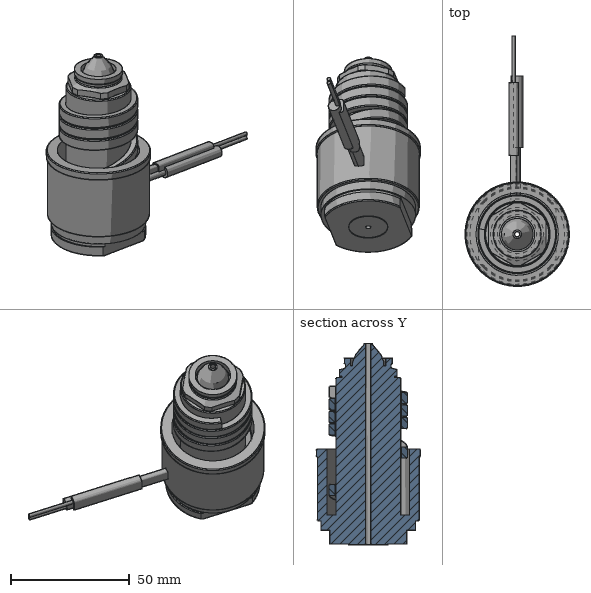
import cadquery as cq
import math

FOOT_BOSS_HEIGHT = 0.3
BASE_TOP = 4.6
GROOVE_TOP = 6.1
COLLAR_TOP = 10.0
GAP_FLOOR = 12.7
FLANGE_BOTTOM = 36.9
FLANGE_TOP = 40.4
SHAFT_TOP = 70.5
HEX_BOTTOM = 70.9
HEX_EDGE_TOP = 73.5
HEX_CONE_TOP = 74.4
FLARE_TOP = 74.8
NECK_TOP = 75.7
RIM_BOTTOM = 76.4
RIM_TOP = 78.6
TIP_TAPER_BOTTOM = 77.0
TIP_CONE_BOTTOM = 80.1
TIP_CONE_TOP = 84.4
NOZZLE_TOP = 84.8

FOOT_BOSS_RADIUS = 8.2
BASE_RADIUS = 19.9
GROOVE_RADIUS = 19.3
HOUSING_RADIUS = 21.5
FLANGE_DIAMETER = 44.0
FLANGE_RADIUS = FLANGE_DIAMETER / 2
BORE_RADIUS = 17.3
SHAFT_RADIUS = 13.7
HEX_NECK_RADIUS = 11.2
HEX_CORNER_RADIUS = 13.2
HEX_ACROSS_FLATS = 24.3
FLARE_RADIUS = 10.0
NECK_RADIUS = 9.6
RIM_RADIUS = 10.1
RECESS_RADIUS = 7.4
TIP_BASE_RADIUS = 6.6
TIP_CONE_RADIUS = 5.4
TIP_RADIUS = 1.8
MELT_HOLE_RADIUS = 1.1
BASE_FLATS_WIDTH = 32.5
RECESS_DEPTH = 3.2
EDGE = 0.4

COIL_INNER_RADIUS = 13.8
COIL_THICKNESS = 2.7
COIL_HEIGHT = 4.9
COIL_CHAMFER = 0.4
COIL_PITCH = 5.3
COIL_TOP = 64.4
COIL_TOP_ANGLE = 172.0
CLOSE_TURN = 3 * 360.0 + 14.0
STEEP_TURN = 423.0
TOTAL_TURN = CLOSE_TURN + STEEP_TURN
POINTS_PER_TURN = 24

LEAD_X = -1.5
LEAD_Z = 19.5
LEAD_WIDTH = 2.7
LEAD_HEIGHT = 5.3
LEAD_FILLET = 0.6
LEAD_START = 14.8
SLEEVE_WIDTH = 4.0
SLEEVE_HEIGHT = 6.5
SLEEVE_FILLET = 1.3
SLEEVE_START = 33.2
SLEEVE_END = 63.8
SENSOR_Z = 18.3
SENSOR_RADIUS = 1.4
SENSOR_TUBE_RADIUS = 2.5
SENSOR_TUBE_START = 36.4
SENSOR_TUBE_END = 66.7
WIRE_RADIUS = 0.79
WIRE_SPACING = 1.9
OVERALL_LENGTH = 105.5
WIRE_END = OVERALL_LENGTH - FLANGE_RADIUS


def cylinder(radius, bottom, top):
    return cq.Workplane("XY").workplane(offset=bottom).circle(radius).extrude(top - bottom)


def round_bar(radius, x, z, start, end):
    """Round bar along +Y."""
    return cq.Workplane("XZ", origin=(x, start, z)).circle(radius).extrude(start - end)


def rounded_bar(width, height, fillet, start, end):
    """Rectangular bar along +Y, on the lead's axis, with its long edges rounded."""
    bar = cq.Workplane("XZ", origin=(LEAD_X, start, LEAD_Z)).rect(width, height).extrude(start - end)
    return bar.edges("|Y").fillet(fillet)


def make_lead_core():
    """Flat lead with the sensor cable beside it, up to the sleeve and the sensor tube."""
    lead = rounded_bar(LEAD_WIDTH, LEAD_HEIGHT, LEAD_FILLET, LEAD_START, SLEEVE_START)
    cable = round_bar(SENSOR_RADIUS, 0, SENSOR_Z, LEAD_START, SENSOR_TUBE_START)
    return lead.union(cable)


def make_hexagon():
    """Hexagon with two flats facing -X and +X, its corners turned down and its top conical."""
    hexagon = (
        cq.Workplane("XY")
        .workplane(offset=HEX_BOTTOM)
        .polygon(6, HEX_ACROSS_FLATS, circumscribed=True)
        .extrude(HEX_CONE_TOP - HEX_BOTTOM)
    )
    turned = (
        cq.Workplane("XZ")
        .moveTo(0, HEX_BOTTOM)
        .lineTo(HEX_CORNER_RADIUS, HEX_BOTTOM)
        .lineTo(HEX_CORNER_RADIUS, HEX_EDGE_TOP)
        .lineTo(FLARE_RADIUS, HEX_CONE_TOP)
        .lineTo(0, HEX_CONE_TOP)
        .close()
        .revolve(360, (0, 0, 0), (0, 1, 0))
    )
    return hexagon.intersect(turned)


def make_base():
    """Grooved foot with a wrench flat on the -X and +X sides."""
    base = cylinder(BASE_RADIUS, FOOT_BOSS_HEIGHT, BASE_TOP).faces("<Z").chamfer(EDGE)
    base = base.union(cylinder(GROOVE_RADIUS, BASE_TOP, GROOVE_TOP))
    between_flats = cq.Workplane("XY").rect(BASE_FLATS_WIDTH, 2 * BASE_RADIUS).extrude(GROOVE_TOP)
    base = base.intersect(between_flats)
    return base.union(cylinder(FOOT_BOSS_RADIUS, 0, FOOT_BOSS_HEIGHT))


def make_housing():
    """Sleeve around the lower coil, with a flange at its top."""
    collar = cylinder(BASE_RADIUS, GROOVE_TOP, COLLAR_TOP)
    barrel = cylinder(HOUSING_RADIUS, COLLAR_TOP, FLANGE_BOTTOM).faces("<Z").chamfer(EDGE)
    flange = cylinder(FLANGE_RADIUS, FLANGE_BOTTOM, FLANGE_TOP).faces("<Z or >Z").chamfer(EDGE)
    bore = cylinder(BORE_RADIUS, GAP_FLOOR, FLANGE_TOP)
    return collar.union(barrel).union(flange).cut(bore)


def make_tip():
    """Rim with a recess around the conical tip."""
    rim = (
        cq.Workplane("XZ")
        .moveTo(0, HEX_CONE_TOP)
        .lineTo(FLARE_RADIUS, HEX_CONE_TOP)
        .lineTo(NECK_RADIUS, FLARE_TOP)
        .lineTo(NECK_RADIUS, NECK_TOP)
        .lineTo(RIM_RADIUS, RIM_BOTTOM)
        .lineTo(RIM_RADIUS, RIM_TOP)
        .lineTo(0, RIM_TOP)
        .close()
        .revolve(360, (0, 0, 0), (0, 1, 0))
    )
    recess_floor = RIM_TOP - RECESS_DEPTH
    rim = rim.cut(cylinder(RECESS_RADIUS, recess_floor, RIM_TOP))
    cone = (
        cq.Workplane("XZ")
        .moveTo(0, recess_floor)
        .lineTo(TIP_BASE_RADIUS, recess_floor)
        .lineTo(TIP_BASE_RADIUS, TIP_TAPER_BOTTOM)
        .lineTo(TIP_CONE_RADIUS, TIP_CONE_BOTTOM)
        .lineTo(TIP_RADIUS, TIP_CONE_TOP)
        .lineTo(TIP_RADIUS, NOZZLE_TOP)
        .lineTo(0, NOZZLE_TOP)
        .close()
        .revolve(360, (0, 0, 0), (0, 1, 0))
    )
    return rim.union(cone)


def make_nozzle():
    shaft = cylinder(SHAFT_RADIUS, COLLAR_TOP, SHAFT_TOP).faces(">Z").chamfer(EDGE)
    neck = cylinder(HEX_NECK_RADIUS, SHAFT_TOP, HEX_BOTTOM)
    nozzle = make_housing().union(make_base()).union(shaft).union(neck)
    nozzle = nozzle.union(make_hexagon()).union(make_tip())
    nozzle = nozzle.cut(cylinder(MELT_HOLE_RADIUS, 0, NOZZLE_TOP))
    return nozzle.cut(make_lead_core())


def coil_height(turned):
    """Height of the coil's middle after turning this many degrees down from the upper end."""
    close_height = COIL_TOP - COIL_PITCH * turned / 360
    if turned <= CLOSE_TURN:
        return close_height
    extra_drop = COIL_TOP - COIL_PITCH * TOTAL_TURN / 360 - LEAD_Z
    u = (turned - CLOSE_TURN) / STEEP_TURN
    return close_height - extra_drop * (3 * u**2 - 2 * u**3)


def coil_edge(radius, offset):
    """Long edge of the coil at this radius and this height from the coil's middle."""
    count = round(TOTAL_TURN / 360 * POINTS_PER_TURN)
    points = []
    for i in range(count + 1):
        turned = TOTAL_TURN * i / count
        angle = math.radians(COIL_TOP_ANGLE - turned)
        z = coil_height(turned) + offset
        points.append(cq.Vector(radius * math.cos(angle), radius * math.sin(angle), z))
    return cq.Edge.makeSpline(points)


def make_coil():
    """Flat bar wound upright around the shaft, its two outer corners chamfered."""
    outer = COIL_INNER_RADIUS + COIL_THICKNESS
    half = COIL_HEIGHT / 2
    section = [
        (COIL_INNER_RADIUS, -half),
        (outer - COIL_CHAMFER, -half),
        (outer, COIL_CHAMFER - half),
        (outer, half - COIL_CHAMFER),
        (outer - COIL_CHAMFER, half),
        (COIL_INNER_RADIUS, half),
    ]
    edges = [coil_edge(radius, offset) for radius, offset in section]
    faces = [cq.Face.makeRuledSurface(edges[i - 1], edges[i]) for i in range(len(edges))]
    for end in (0, 1):
        corners = [edge.positionAt(end) for edge in edges]
        faces.append(cq.Face.makeFromWires(cq.Wire.makePolygon(corners, close=True)))
    return cq.Workplane(cq.Solid.makeSolid(cq.Shell.makeShell(faces)))


def make_heater():
    """Coil, lead, sleeve, sensor tube and two wires as one body."""
    sleeve = rounded_bar(SLEEVE_WIDTH, SLEEVE_HEIGHT, SLEEVE_FILLET, SLEEVE_START, SLEEVE_END)
    tube = round_bar(SENSOR_TUBE_RADIUS, 0, SENSOR_Z, SENSOR_TUBE_START, SENSOR_TUBE_END)
    heater = make_coil().union(make_lead_core()).union(sleeve).union(tube)
    for side in (-1, 1):
        wire_z = LEAD_Z + side * WIRE_SPACING / 2
        heater = heater.union(round_bar(WIRE_RADIUS, LEAD_X, wire_z, SLEEVE_START, WIRE_END))
    return heater


nozzle = make_nozzle()
heater = make_heater()

result = cq.Compound.makeCompound([*nozzle.solids().vals(), *heater.solids().vals()])